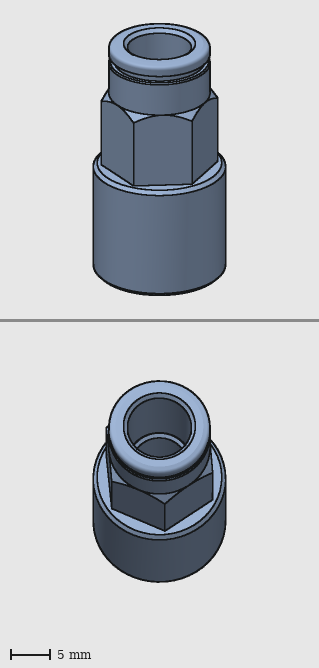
import cadquery as cq
import math

total_height = 32.0
collar_flange_bottom = 30.5
body_top = 29.5
hex_top = 25.0
socket_top = 15.0
collar_bottom = 20.0

socket_diameter = 17.0
socket_chamfer = 0.5
hex_across_flats = 13.0
sleeve_diameter = 13.0
sleeve_chamfer = 0.2
collar_bore_diameter = 11.6
seat_diameter = 8.1
seat_slope = 30.0
through_diameter = 7.0

flange_diameter = 13.0
flange_flat_diameter = 11.25
flange_slope = 15.0
flange_round = 0.55
neck_diameter = 11.5
tube_diameter = 8.2
tube_mouth_chamfer = 0.5


def cylinder(diameter, bottom, top):
    """Solid cylinder on the vertical axis between two heights."""
    return cq.Workplane("XY").workplane(offset=bottom).circle(diameter / 2).extrude(top - bottom)


def cone(bottom_diameter, top_diameter, bottom, top):
    """Solid truncated cone on the vertical axis between two heights."""
    base = cq.Vector(0, 0, bottom)
    return cq.Workplane(cq.Solid.makeCone(bottom_diameter / 2, top_diameter / 2, top - bottom, base))


def make_hex():
    """Hexagonal wrench section with its upper corners turned down at 45 degrees."""
    across_corners = hex_across_flats / math.cos(math.pi / 6)
    corner_chamfer = (across_corners - hex_across_flats) / 2
    prism = (
        cq.Workplane("XY")
        .workplane(offset=socket_top)
        .polygon(6, across_corners)
        .extrude(hex_top - socket_top)
    )
    turned_blank = cylinder(across_corners, socket_top, hex_top).faces(">Z").chamfer(corner_chamfer)
    return prism.intersect(turned_blank)


def make_housing():
    """Round socket, hexagon and upper sleeve, bored through with a seat for the collar."""
    socket = cylinder(socket_diameter, 0, socket_top).faces("<Z or >Z").chamfer(socket_chamfer)
    sleeve = cylinder(sleeve_diameter, socket_top, body_top).faces(">Z").chamfer(sleeve_chamfer)
    outside = socket.union(make_hex()).union(sleeve)
    collar_bore = cylinder(collar_bore_diameter, collar_bottom, body_top)
    seat_depth = (seat_diameter - through_diameter) / 2 * math.tan(math.radians(seat_slope))
    tube_seat = cone(through_diameter, seat_diameter, collar_bottom - seat_depth, collar_bottom)
    through_hole = cylinder(through_diameter, 0, collar_bottom)
    return outside.cut(collar_bore).cut(tube_seat).cut(through_hole)


def flange_outline():
    """Half section of the flange: a flat top, a shallow cone, a tangent round and a straight rim."""
    slope = math.radians(flange_slope)
    rim_radius = flange_diameter / 2
    flat_radius = flange_flat_diameter / 2
    round_center_x = rim_radius - flange_round
    cone_end_x = round_center_x + flange_round * math.sin(slope)
    cone_end_z = total_height - (cone_end_x - flat_radius) * math.tan(slope)
    round_center_z = cone_end_z - flange_round * math.cos(slope)
    middle_angle = (math.pi / 2 - slope) / 2
    round_middle = (
        round_center_x + flange_round * math.cos(middle_angle),
        round_center_z + flange_round * math.sin(middle_angle),
    )
    return (
        cq.Workplane("XZ")
        .moveTo(0, collar_flange_bottom)
        .lineTo(rim_radius, collar_flange_bottom)
        .lineTo(rim_radius, round_center_z)
        .threePointArc(round_middle, (cone_end_x, cone_end_z))
        .lineTo(flat_radius, total_height)
        .lineTo(0, total_height)
        .close()
    )


def make_collar():
    """Flanged release collar with a chamfered tube hole."""
    flange = flange_outline().revolve(360, (0, 0, 0), (0, 1, 0))
    neck = cylinder(neck_diameter, collar_bottom, collar_flange_bottom)
    tube_hole = cylinder(tube_diameter, collar_bottom, total_height)
    mouth = cone(
        tube_diameter,
        tube_diameter + 2 * tube_mouth_chamfer,
        total_height - tube_mouth_chamfer,
        total_height,
    )
    return flange.union(neck).cut(tube_hole).cut(mouth)


housing = make_housing()
collar = make_collar()
result = cq.Compound.makeCompound([housing.val(), collar.val()])